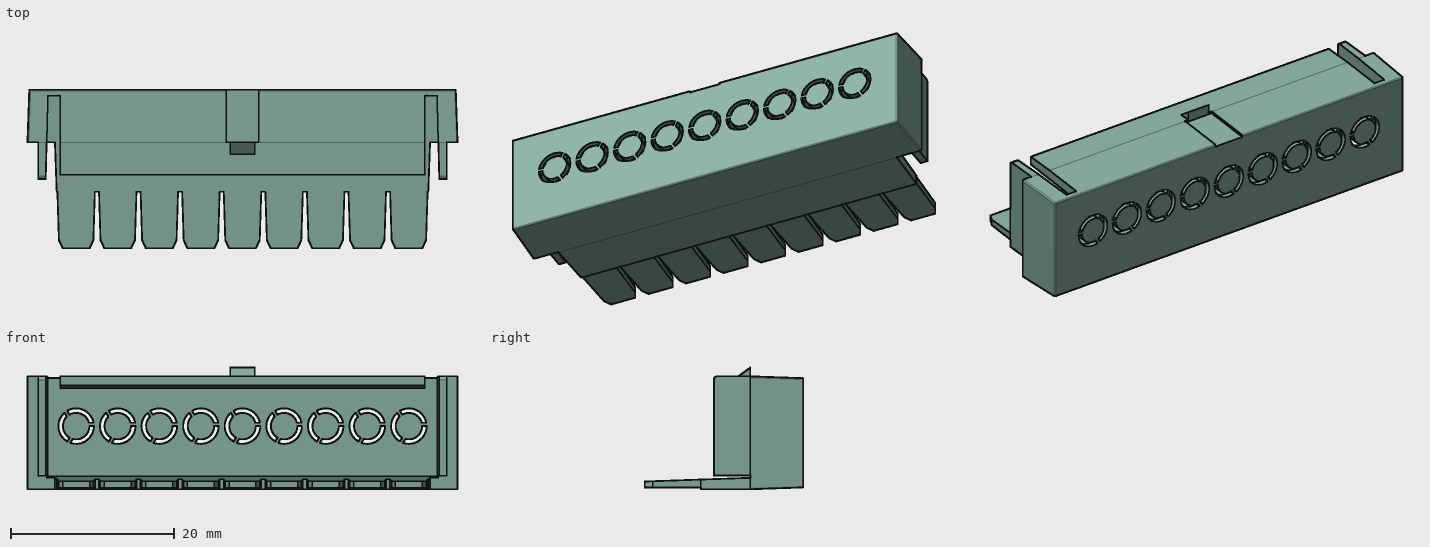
import cadquery as cq
import math


width = 52.6
lid_top = 13.85
housing_depth = 6.45
draft_angle = 2.0
edge_radius = 0.15

back_wall = 0.75
cavity_half_back = 23.8
cavity_half_front = 24.05
floor_top_back = 1.65
floor_slope = 0.035

lid_half = 22.3
lid_reach = 3.95
lid_edge_thickness = 1.1
lid_root_thickness = 1.45

ear_reach = 4.45
ear_half = 25.0
ear_bottom = 1.7
ear_radius = 0.4

wedge_half = 1.5
wedge_length = 1.45
wedge_angle = 36.0
wedge_rise = wedge_length * math.tan(math.radians(wedge_angle))
channel_half = 2.0
channel_depth = 0.25

disc_count = 9
disc_row = 40.65
pitch = disc_row / (disc_count - 1)
disc_places = [index * pitch - disc_row / 2 for index in range(disc_count)]
disc_height = 7.75
ring_outer = 2.15
ring_inner = 1.65
bridge_count = 3
bridge_width = 0.4

tongue_reach = 6.05
tongue_half_mouth = 22.95
tongue_half_end = 22.7

finger_length = 6.9
finger_tip = tongue_reach + finger_length
finger_underside = 0.2
slit_root_width = 0.45
slit_tip_width = 0.85
finger_root_half = (pitch - slit_root_width) / 2
finger_tip_half = (pitch - slit_tip_width) / 2
tip_chamfer_width = 0.45
tip_chamfer_length = 1.0

inner_back = housing_depth - back_wall


def side_profile(points, half_width):
    """Prism with a Y-Z outline, centred on X = 0."""
    return cq.Workplane("YZ").polyline(points).close().extrude(half_width, both=True)


def housing_top(y):
    """Height of the drafted top face behind the mouth."""
    return lid_top - y * math.tan(math.radians(draft_angle))


def floor_top(y):
    """Height of the floor, which falls steadily from the back wall to the finger tips."""
    return floor_top_back - floor_slope * (inner_back - y)


def make_housing():
    block = (
        cq.Workplane("XZ")
        .center(0, lid_top / 2)
        .rect(width, lid_top)
        .extrude(-housing_depth, taper=draft_angle)
    )
    return block.edges("not <Y").fillet(edge_radius)


def make_ears():
    ears = (
        cq.Workplane("XY")
        .box(2 * ear_half, ear_reach, lid_top - ear_bottom, centered=(True, False, False))
        .translate((0, -ear_reach, ear_bottom))
    )
    return ears.edges("<Y and >Z").fillet(ear_radius)


def make_cavity():
    """Space between the ears and side walls, above the sloping floor and open at the top."""
    plan = [
        (-cavity_half_front, -ear_reach),
        (cavity_half_front, -ear_reach),
        (cavity_half_back, inner_back),
        (-cavity_half_back, inner_back),
    ]
    tall = cq.Workplane("XY").polyline(plan).close().extrude(lid_top)
    above_floor = side_profile(
        [
            (-ear_reach, floor_top(-ear_reach)),
            (inner_back, floor_top_back),
            (inner_back, lid_top),
            (-ear_reach, lid_top),
        ],
        width,
    )
    return tall.intersect(above_floor)


def make_lid():
    return side_profile(
        [
            (-lid_reach, lid_top),
            (0, lid_top),
            (inner_back, housing_top(inner_back)),
            (inner_back, lid_top - lid_root_thickness),
            (-lid_reach, lid_top - lid_edge_thickness),
        ],
        lid_half,
    )


def make_wedge():
    return side_profile(
        [(0, lid_top), (0, lid_top + wedge_rise), (-wedge_length, lid_top)], wedge_half
    )


def make_channel():
    """Cutter of constant depth below the drafted top face."""
    return side_profile(
        [
            (0, lid_top),
            (0, lid_top - channel_depth),
            (housing_depth, housing_top(housing_depth) - channel_depth),
            (housing_depth, lid_top),
        ],
        channel_half,
    )


def floor_slab(y_back, y_front, underside):
    """Full-width slab under the sloping floor surface."""
    return side_profile(
        [
            (y_back, underside),
            (y_back, floor_top(y_back)),
            (y_front, floor_top(y_front)),
            (y_front, underside),
        ],
        width / 2,
    )


def make_tongue():
    plan = [
        (-tongue_half_mouth, 0),
        (-tongue_half_end, -tongue_reach),
        (tongue_half_end, -tongue_reach),
        (tongue_half_mouth, 0),
    ]
    outline = cq.Workplane("XY").polyline(plan).close().extrude(lid_top)
    return floor_slab(0, -tongue_reach, 0).intersect(outline)


def make_fingers():
    chamfer_start = tip_chamfer_length - finger_tip
    tip_flat_half = finger_tip_half - tip_chamfer_width
    plan = [
        (-finger_root_half, -tongue_reach),
        (-finger_tip_half, chamfer_start),
        (-tip_flat_half, -finger_tip),
        (tip_flat_half, -finger_tip),
        (finger_tip_half, chamfer_start),
        (finger_root_half, -tongue_reach),
    ]
    outline = cq.Workplane("XY").polyline(plan).close().extrude(lid_top)
    slab = floor_slab(-tongue_reach, -finger_tip, finger_underside)
    finger = slab.intersect(outline)
    fingers = cq.Workplane("XY")
    for x in disc_places:
        fingers = fingers.add(finger.translate((x, 0, 0)))
    return fingers.combine()


def make_ring_slots():
    """Broken ring around one disc; each bridge has one edge on a radius."""
    ring = cq.Workplane("XZ").circle(ring_outer).circle(ring_inner).extrude(-housing_depth)
    bridge = cq.Workplane("XZ").rect(2 * ring_outer, bridge_width, centered=False).extrude(-housing_depth)
    for index in range(bridge_count):
        turn = -index * 360 / bridge_count
        ring = ring.cut(bridge.rotate((0, 0, 0), (0, 1, 0), turn))
    return ring


result = make_housing().union(make_ears()).cut(make_cavity())
result = result.union(make_lid()).union(make_tongue()).union(make_fingers())
result = result.cut(make_channel()).union(make_wedge())

ring_slots = make_ring_slots()
for x in disc_places:
    result = result.cut(ring_slots.translate((x, 0, disc_height)))